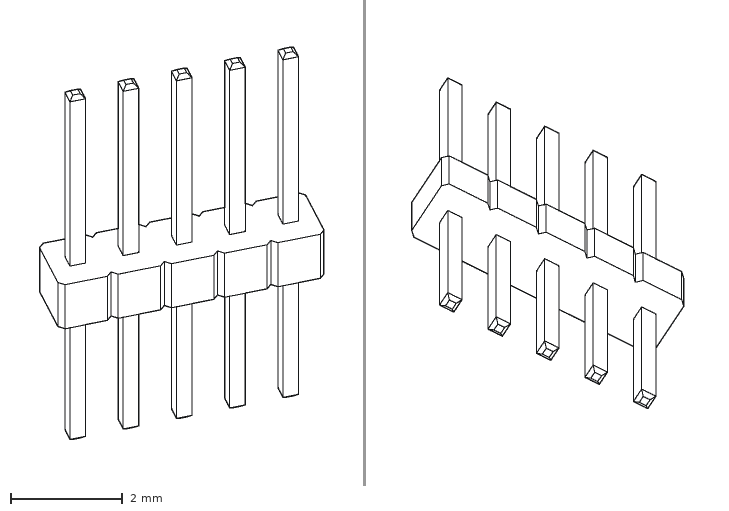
import cadquery as cq

PIN_COUNT = 5
BODY_LENGTH = 5.0
BODY_WIDTH = 1.27
CORNER_CUT = 0.1
PIN_LENGTH = 7.8
PIN_SIDE = 0.3
TIP_CHAMFER = 0.08
TAIL_LENGTH = 3.0

PITCH = BODY_LENGTH / PIN_COUNT
BODY_HEIGHT = PITCH
FIRST_PIN_Y = -PITCH * (PIN_COUNT - 1) / 2

BASE_CENTERED = (True, True, False)


def make_housing_cell():
    """One housing cell: a block standing on Z = 0 with its upright edges cut."""
    block = cq.Workplane("XY").box(BODY_WIDTH, PITCH, BODY_HEIGHT, centered=BASE_CENTERED)
    return block.edges("|Z").chamfer(CORNER_CUT)


def make_pin():
    """A square pin tapered at both ends, reaching TAIL_LENGTH below Z = 0."""
    bar = cq.Workplane("XY").box(PIN_SIDE, PIN_SIDE, PIN_LENGTH, centered=BASE_CENTERED)
    pin = bar.faces("<Z or >Z").chamfer(TIP_CHAMFER)
    return pin.translate((0, 0, -TAIL_LENGTH))


cell = make_housing_cell().union(make_pin())
result = cell.translate((0, FIRST_PIN_Y, 0))
for index in range(1, PIN_COUNT):
    result = result.union(cell.translate((0, FIRST_PIN_Y + index * PITCH, 0)))